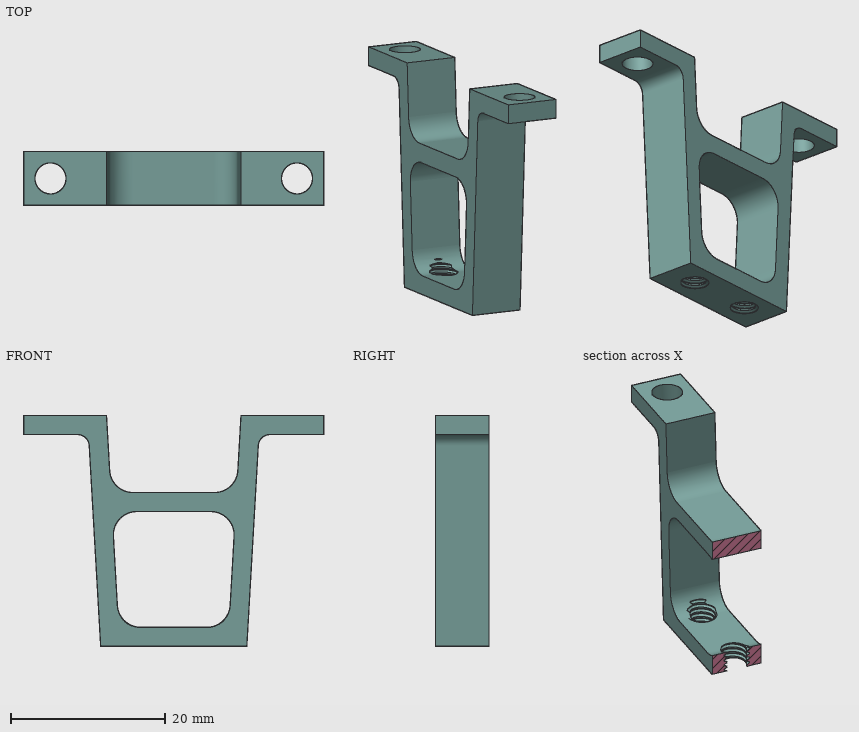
import cadquery as cq
import math

length = 39.0
depth = 7.0
height = 30.0

wall = 2.5
floor_half_width = 9.5
leg_half_width_at_flange = 11.07
web_top = 20.0
inner_radius = 3.0
flange_radius = 1.5

mount_diameter = 4.0
mount_spacing = 32.0

thread_spacing = 9.8
thread_minor_diameter = 3.3
thread_major_diameter = 4.0
thread_pitch = 0.7
thread_turns = 7
thread_root_width = thread_pitch / 8
thread_flank_angle = math.radians(30)
thread_start_angle = 150.0
thread_overlap = 0.1

flange_bottom = height - wall
thread_top = thread_turns * thread_pitch
leg_slope = (leg_half_width_at_flange - floor_half_width) / flange_bottom


def outer_half_width(z):
    """Half the distance between the outer leg faces at height z."""
    return floor_half_width + leg_slope * z


def inner_half_width(z):
    """Half the distance between the inner leg faces at height z."""
    return outer_half_width(z) - wall


def extrude_symmetric(points):
    """Prism through the full depth from an X-Z outline, centred on Y = 0."""
    return cq.Workplane("XZ").polyline(points).close().extrude(depth / 2, both=True)


def leg_gap(z_bottom, z_top):
    """Tapered space between the legs from z_bottom to z_top."""
    bottom = inner_half_width(z_bottom)
    top = inner_half_width(z_top)
    return extrude_symmetric([(-bottom, z_bottom), (bottom, z_bottom), (top, z_top), (-top, z_top)])


def make_body():
    """Legs filled solid, with a flange at the top on each side."""
    right_side = [
        (floor_half_width, 0),
        (leg_half_width_at_flange, flange_bottom),
        (length / 2, flange_bottom),
        (length / 2, height),
    ]
    left_side = [(-x, z) for x, z in reversed(right_side)]
    body = extrude_symmetric(right_side + left_side)
    under_flange = cq.selectors.BoxSelector(
        (-leg_half_width_at_flange - wall, -depth, flange_bottom - wall / 2),
        (leg_half_width_at_flange + wall, depth, flange_bottom + wall / 2),
    )
    return body.edges("|Y").edges(under_flange).fillet(flange_radius)


def make_channel():
    """Open channel above the web, rounded at its bottom corners."""
    return leg_gap(web_top, height).edges("|Y and <Z").fillet(inner_radius)


def make_window():
    """Closed window between the floor and the web, rounded at all four corners."""
    return leg_gap(wall, web_top - wall).edges("|Y").fillet(inner_radius)


def make_mount_holes():
    """Plain holes through both flanges."""
    return (
        cq.Workplane("XY", origin=(0, 0, flange_bottom))
        .pushPoints([(-mount_spacing / 2, 0), (mount_spacing / 2, 0)])
        .circle(mount_diameter / 2)
        .extrude(wall)
    )


def make_tap_drill():
    """Minor-diameter cylinder of one threaded hole, on the Z axis."""
    return cq.Workplane("XY").circle(thread_minor_diameter / 2).extrude(thread_top)


def make_thread_groove():
    """Right-handed helical groove of one threaded hole, starting one pitch below the base."""
    minor = thread_minor_diameter / 2
    major = thread_major_diameter / 2
    base = minor - thread_overlap
    start = -thread_pitch
    root_half = thread_root_width / 2
    base_half = root_half + (major - base) * math.tan(thread_flank_angle)
    helix = cq.Wire.makeHelix(thread_pitch, thread_top - start, minor)
    return (
        cq.Workplane("XZ")
        .polyline([(base, -base_half), (major, -root_half), (major, root_half), (base, base_half)])
        .close()
        .sweep(cq.Workplane(obj=helix), isFrenet=True)
        .translate((0, 0, start))
        .rotate((0, 0, 0), (0, 0, 1), thread_start_angle)
    )


result = make_body().cut(make_channel()).cut(make_window()).cut(make_mount_holes())
tap_drill = make_tap_drill()
thread_groove = make_thread_groove()
for x in (-thread_spacing / 2, thread_spacing / 2):
    result = result.cut(thread_groove.translate((x, 0, 0)))
    result = result.cut(tap_drill.translate((x, 0, 0)))